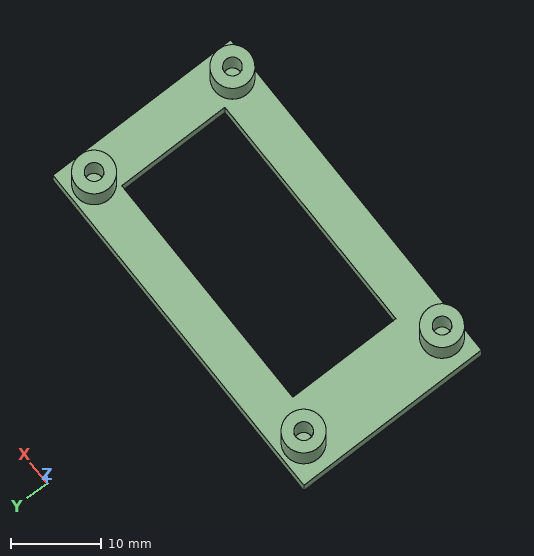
import cadquery as cq

plate_length = 45.0
plate_width = 25.0
plate_thickness = 2.5

window_length = 30.65
window_width = 14.5
window_left = 8.7
window_front = (plate_width - window_width) / 2

post_diameter = 5.0
post_height = 5.0
hole_diameter = 2.15
hole_depth = post_height
post_spacing_x = 37.58
post_spacing_y = 19.5
first_post_x = 3.9
first_post_y = post_diameter / 2


def make_plate():
    plate = cq.Workplane("XY").box(plate_length, plate_width, plate_thickness, centered=False)
    window = (
        cq.Workplane("XY")
        .box(window_length, window_width, plate_thickness, centered=False)
        .translate((window_left, window_front, 0))
    )
    return plate.cut(window)


def post_centers():
    return [
        (first_post_x + column * post_spacing_x, first_post_y + row * post_spacing_y)
        for column in range(2)
        for row in range(2)
    ]


def make_posts():
    return (
        cq.Workplane("XY", origin=(0, 0, plate_thickness))
        .pushPoints(post_centers())
        .circle(post_diameter / 2)
        .extrude(post_height)
    )


def make_holes():
    post_top = plate_thickness + post_height
    return (
        cq.Workplane("XY", origin=(0, 0, post_top))
        .pushPoints(post_centers())
        .circle(hole_diameter / 2)
        .extrude(-hole_depth)
    )


result = make_plate().union(make_posts()).cut(make_holes())